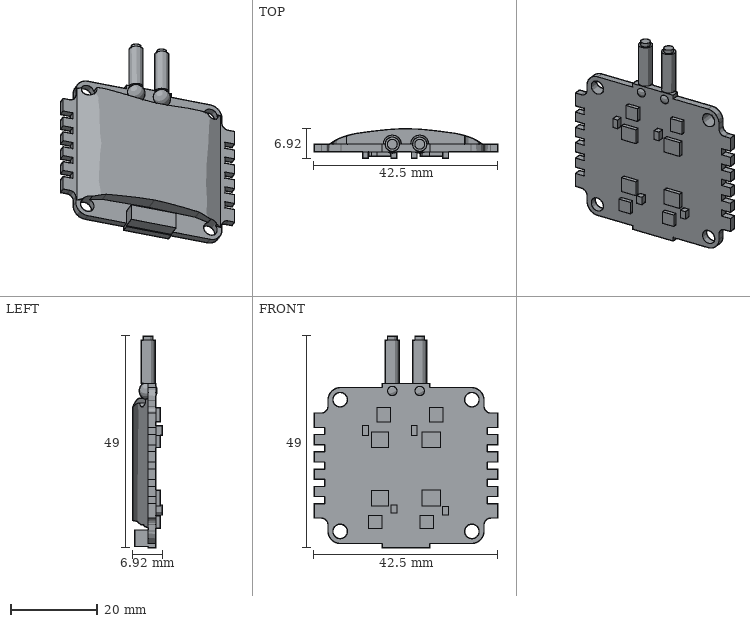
import cadquery as cq

BOARD_T = 1.8
BOARD_SIDE = 36.2
CORNER_R = 3.0
HOLE_PITCH = 30.5
HOLE_D = 3.3

STRIP_W = 11.1
STRIP_H = 38.1

WING_SPAN = 42.5
WING_H = 24.4
WING_ROOT_R = 1.5
SLOT_COUNT = 5
SLOT_PITCH = 4.0
SLOT_W = 1.6
SLOT_DEPTH = 2.4

CABLE_PITCH = 6.35
CABLE_D = 3.3
CABLE_LEN = 10.0
CORE_D = 2.3
CORE_LEN = 0.9
BALL_R = 2.1
BALL_Z = 17.28

COVER_H = 3.62
SHOULDER_X = 8.3
SHOULDER_H = 2.98
FLANK_X = 15.35
FLANK_H = 1.4
COVER_HALF_W = 17.75
COVER_TOP_CURVE = [(-14.3, 14.5), (-7.0, 13.97), (0, 13.5), (7.0, 14.55), (13.9, 15.65)]
COVER_TOP_CORNER_Z = 15.65
COVER_BOTTOM_Z = -12.7
COVER_BOTTOM_BEND_X = 11.5
COVER_BOTTOM_BEND_Z = -12.95
COVER_BOTTOM_CORNER_Z = -14.45

CONNECTOR_W = STRIP_W
CONNECTOR_H = 3.9
CONNECTOR_T = 3.15
CONNECTOR_Z = -16.85

CHIP_T = 1.0
CAPACITOR_T = 1.5
UPPER_CHIP_SIZE = (3.15, 3.3)
UPPER_CHIP_CENTRES = [(-5.16, 11.75), (6.96, 11.75)]
LOWER_CHIP_SIZE = (3.1, 3.0)
LOWER_CHIP_CENTRES = [(-7.1, -13.07), (4.8, -13.07)]
LEFT_CHIP_SIZE = (3.93, 3.6)
LEFT_CHIP_CENTRES = [(-5.99, 5.98), (-5.99, -7.6)]
UPPER_RIGHT_CHIP_SIZE = (4.23, 3.6)
UPPER_RIGHT_CHIP_CENTRES = [(5.84, 5.98)]
LOWER_RIGHT_CHIP_SIZE = (4.23, 3.75)
LOWER_RIGHT_CHIP_CENTRES = [(5.84, -7.53)]
TALL_CAPACITOR_SIZE = (1.33, 2.27)
TALL_CAPACITOR_CENTRES = [(-9.37, 8.12), (1.93, 8.12)]
SHORT_CAPACITOR_SIZE = (1.4, 1.95)
SHORT_CAPACITOR_CENTRES = [(-2.8, -10.05), (9.16, -10.48)]
COMPONENTS = [
    (UPPER_CHIP_SIZE, CHIP_T, UPPER_CHIP_CENTRES),
    (LOWER_CHIP_SIZE, CHIP_T, LOWER_CHIP_CENTRES),
    (LEFT_CHIP_SIZE, CHIP_T, LEFT_CHIP_CENTRES),
    (UPPER_RIGHT_CHIP_SIZE, CHIP_T, UPPER_RIGHT_CHIP_CENTRES),
    (LOWER_RIGHT_CHIP_SIZE, CHIP_T, LOWER_RIGHT_CHIP_CENTRES),
    (TALL_CAPACITOR_SIZE, CAPACITOR_T, TALL_CAPACITOR_CENTRES),
    (SHORT_CAPACITOR_SIZE, CAPACITOR_T, SHORT_CAPACITOR_CENTRES),
]


def front_plane(y):
    """Plane parallel to XZ at height y, with local x = X, local y = Z and normal = -Y."""
    return cq.Workplane("XZ", origin=(0, y, 0))


def block(width, height, y_min, y_max, x=0.0, z=0.0):
    """Box centred on (x, z) that spans y_min to y_max."""
    return front_plane(y_max).center(x, z).rect(width, height).extrude(y_max - y_min)


def make_board():
    body = block(BOARD_SIDE, BOARD_SIDE, 0, BOARD_T).edges("|Y").fillet(CORNER_R)
    wings = block(WING_SPAN, WING_H, 0, BOARD_T)
    half_side = BOARD_SIDE / 2
    half_wing = WING_H / 2
    roots = cq.selectors.BoxSelector(
        (-half_side - WING_ROOT_R, -BOARD_T, -half_wing - WING_ROOT_R),
        (half_side + WING_ROOT_R, 2 * BOARD_T, half_wing + WING_ROOT_R),
    )
    board = body.union(wings).edges("|Y").edges(roots).fillet(WING_ROOT_R)
    board = board.union(block(STRIP_W, STRIP_H, 0, BOARD_T))
    slot_x = (WING_SPAN - SLOT_DEPTH) / 2
    for i in range(SLOT_COUNT):
        slot_z = (i - (SLOT_COUNT - 1) / 2) * SLOT_PITCH
        for side in (-1, 1):
            board = board.cut(block(SLOT_DEPTH, SLOT_W, 0, BOARD_T, side * slot_x, slot_z))
    return board


def make_cover():
    """Arched section run along Z, trimmed to the outline of the cover."""
    shoulder_y = BOARD_T + SHOULDER_H
    flank_y = BOARD_T + FLANK_H
    arch_points = [
        (-FLANK_X, flank_y),
        (-SHOULDER_X, shoulder_y),
        (0, BOARD_T + COVER_H),
        (SHOULDER_X, shoulder_y),
        (FLANK_X, flank_y),
        (COVER_HALF_W, BOARD_T),
    ]
    arch = (
        cq.Workplane("XY", origin=(0, 0, -STRIP_H / 2))
        .moveTo(-COVER_HALF_W, BOARD_T)
        .spline(arch_points, includeCurrent=True)
        .close()
        .extrude(STRIP_H)
    )
    trim = (
        front_plane(BOARD_T + COVER_H)
        .moveTo(*COVER_TOP_CURVE[0])
        .spline(COVER_TOP_CURVE[1:], includeCurrent=True)
        .lineTo(COVER_HALF_W, COVER_TOP_CORNER_Z)
        .lineTo(COVER_HALF_W, COVER_BOTTOM_CORNER_Z)
        .lineTo(COVER_BOTTOM_BEND_X, COVER_BOTTOM_BEND_Z)
        .lineTo(0, COVER_BOTTOM_Z)
        .lineTo(-COVER_BOTTOM_BEND_X, COVER_BOTTOM_BEND_Z)
        .lineTo(-COVER_HALF_W, COVER_BOTTOM_CORNER_Z)
        .lineTo(-COVER_HALF_W, COVER_TOP_CORNER_Z)
        .close()
        .extrude(COVER_H)
    )
    return arch.intersect(trim)


def make_mounting_holes():
    """Cylinders that pass through the board and the cover corners."""
    depth = BOARD_T + COVER_H
    centres = front_plane(depth).rect(HOLE_PITCH, HOLE_PITCH, forConstruction=True).vertices()
    return centres.circle(HOLE_D / 2).extrude(depth)


def make_cable(x):
    """Insulated cable with a bare core end, standing on the top strip edge, and its solder ball."""
    base_z = STRIP_H / 2
    sleeve = cq.Workplane("XY", origin=(x, BOARD_T, base_z)).circle(CABLE_D / 2).extrude(CABLE_LEN)
    core = sleeve.faces(">Z").workplane().circle(CORE_D / 2).extrude(CORE_LEN, combine=False)
    ball = cq.Workplane("XY", origin=(x, BOARD_T, BALL_Z)).sphere(BALL_R)
    return sleeve.union(core).union(ball)


def add_components(part, size, thickness, centres):
    width, height = size
    for x, z in centres:
        part = part.union(block(width, height, -thickness, 0, x, z))
    return part


def make_connector():
    y_max = BOARD_T + CONNECTOR_T
    return block(CONNECTOR_W, CONNECTOR_H, BOARD_T, y_max, z=CONNECTOR_Z)


result = make_board().union(make_cover()).cut(make_mounting_holes())
for cable_side in (-1, 1):
    result = result.union(make_cable(cable_side * CABLE_PITCH / 2))
result = result.union(make_connector())
for component_size, component_t, component_centres in COMPONENTS:
    result = add_components(result, component_size, component_t, component_centres)